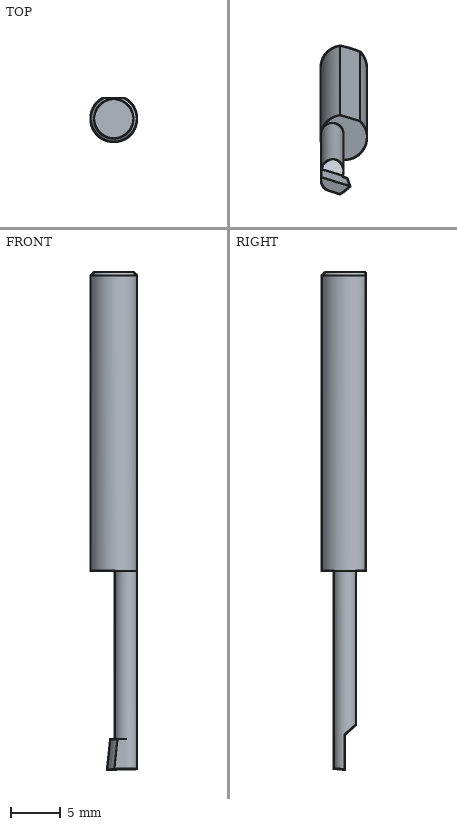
import cadquery as cq
import math

total_length = 50.8
shank_diameter = 4.76
shank_radius = shank_diameter / 2
shank_bottom = 20.3
shank_width = 4.51
flat_offset = shank_width - shank_radius
end_chamfer = 0.38

neck_diameter = 2.3
neck_radius = neck_diameter / 2
neck_center_x = shank_radius - neck_radius

head_height = 3.15
head_side_angle = 6
point_x = -0.70
rake_y = 0.0
relief_depth = 0.8
relief_inset = 0.45
heel_inset = 0.75

rake_runout_angle = 42
rake_runout_start = 3.6
end_relief_angle = 5
end_side_angle = 1.5

cutter_size = 2 * shank_diameter


def make_shank():
    length = total_length - shank_bottom
    base = cq.Workplane("XY").workplane(offset=shank_bottom)
    shank = base.circle(shank_radius).extrude(length)
    shank = shank.faces(">Z").chamfer(end_chamfer)
    beyond_flat = (
        base.center(0, flat_offset + cutter_size / 2)
        .rect(cutter_size, cutter_size)
        .extrude(length)
    )
    return shank.cut(beyond_flat)


def make_neck():
    return cq.Workplane("XY").center(neck_center_x, 0).circle(neck_radius).extrude(shank_bottom)


def head_outline(left_x):
    """Section of the head: rake face, two side facets and the back flat."""
    return [
        (left_x, rake_y),
        (left_x + relief_inset, rake_y - relief_depth),
        (left_x + heel_inset, -neck_radius),
        (neck_center_x, -neck_radius),
        (neck_center_x, rake_y),
    ]


def make_head():
    top_shift = head_height * math.tan(math.radians(head_side_angle))
    return (
        cq.Workplane("XY")
        .polyline(head_outline(point_x))
        .close()
        .workplane(offset=head_height)
        .polyline(head_outline(point_x + top_shift))
        .close()
        .loft(ruled=True)
    )


def make_rake_cut():
    """Material on the +Y side of the rake face, with a sloped runout into the neck."""
    runout_rise = cutter_size * math.tan(math.radians(rake_runout_angle))
    profile = [
        (rake_y, -cutter_size),
        (rake_y + cutter_size, -cutter_size),
        (rake_y + cutter_size, rake_runout_start + runout_rise),
        (rake_y, rake_runout_start),
    ]
    return cq.Workplane("YZ").polyline(profile).close().extrude(cutter_size, both=True)


def make_end_cut():
    """Everything below the end face, which rises away from the cutting point."""
    return (
        cq.Workplane("XY")
        .box(2 * cutter_size, 2 * cutter_size, cutter_size, centered=(True, True, False))
        .translate((0, 0, -cutter_size))
        .rotate((0, 0, 0), (1, 0, 0), -end_relief_angle)
        .rotate((0, 0, 0), (0, 1, 0), -end_side_angle)
        .translate((point_x, rake_y, 0))
    )


body = make_neck().union(make_head())
body = body.cut(make_rake_cut()).cut(make_end_cut())
result = make_shank().union(body)